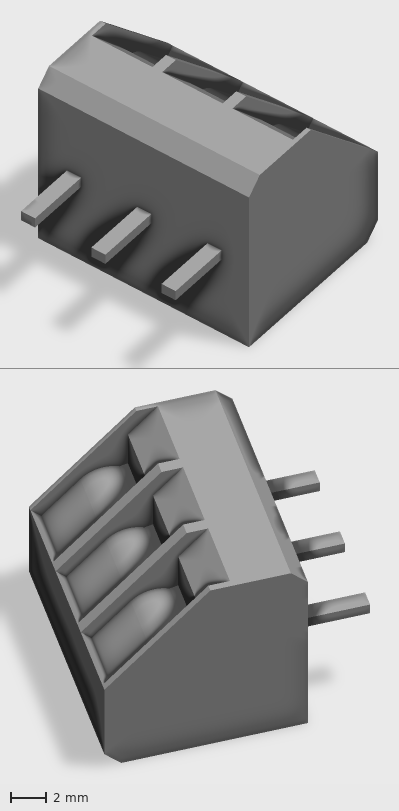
import cadquery as cq
import math

housing_width = 15.0
housing_depth = 12.0
housing_height = 12.5
slope_size = 6.25
edge_chamfer = 1.0
slope_angle = 45.0

pole_count = 3
pole_pitch = 5.0
first_pole_x = 2.55

recess_width = 4.3
recess_depth = 0.9

notch_start = 2.95
notch_radius = 1.95
notch_ramp_angle = 20.0
notch_valley = 5.25
notch_back = 5.75
notch_bottom_angle = 11.6

pin_width = 1.0
pin_height = 0.7
pin_length = 4.28
pin_bottom_z = 5.65

slope_foot_z = housing_height - slope_size

floor_drop = recess_depth / math.cos(math.radians(slope_angle))


def extrude_profile(outline, start_x, width):
    """Extrude a closed YZ outline along +X from start_x."""
    return outline.close().extrude(width).translate((start_x, 0, 0))


def floor_point(back):
    """Point of the recess floor at a given distance back from the front face (which faces +Y)."""
    return (-back, slope_foot_z + back - floor_drop)


def make_housing():
    outline = cq.Workplane("YZ").polyline([
        (-housing_depth, 0),
        (-edge_chamfer, 0),
        (0, edge_chamfer),
        (0, slope_foot_z),
        (-slope_size, housing_height),
        (edge_chamfer - housing_depth, housing_height),
        (-housing_depth, housing_height - edge_chamfer),
    ])
    return extrude_profile(outline, 0, housing_width)


def make_recess(start_x):
    """Prism between the sloped face and the recess floor, open at the top."""
    outline = cq.Workplane("YZ").polyline([
        (0, slope_foot_z),
        floor_point(floor_drop / 2),
        floor_point(slope_size + floor_drop),
        (-slope_size, housing_height),
    ])
    return extrude_profile(outline, start_x, recess_width)


def make_notch(start_x):
    """Notch whose front is rounded tangent to the recess floor and runs out into a short ramp."""
    start_y, start_z = floor_point(notch_start)
    center_y = start_y - notch_radius * math.sin(math.radians(slope_angle))
    center_z = start_z - notch_radius * math.cos(math.radians(slope_angle))

    def arc_point(angle):
        """Point of the rounding whose normal leans toward +Y by the given angle in degrees."""
        lean = math.radians(angle)
        return (center_y + notch_radius * math.sin(lean), center_z + notch_radius * math.cos(lean))

    ramp_y, ramp_z = arc_point(-notch_ramp_angle)
    ramp_run = notch_valley + ramp_y
    valley_z = ramp_z - ramp_run * math.tan(math.radians(notch_ramp_angle))
    bottom_run = notch_back - notch_valley
    back_z = valley_z + bottom_run * math.tan(math.radians(notch_bottom_angle))

    outline = (
        cq.Workplane("YZ")
        .moveTo(start_y, start_z)
        .threePointArc(arc_point(0), (ramp_y, ramp_z))
        .lineTo(-notch_valley, valley_z)
        .lineTo(-notch_back, back_z)
        .lineTo(*floor_point(notch_back))
    )
    return extrude_profile(outline, start_x, recess_width)


def make_pin(center_x):
    return (
        cq.Workplane("XY")
        .box(pin_width, pin_length, pin_height, centered=(True, False, False))
        .translate((center_x, -housing_depth - pin_length, pin_bottom_z))
    )


result = make_housing()
for pole in range(pole_count):
    pole_x = first_pole_x + pole * pole_pitch
    recess_x = pole_x - recess_width / 2
    result = result.cut(make_recess(recess_x))
    result = result.cut(make_notch(recess_x))
    result = result.union(make_pin(pole_x))